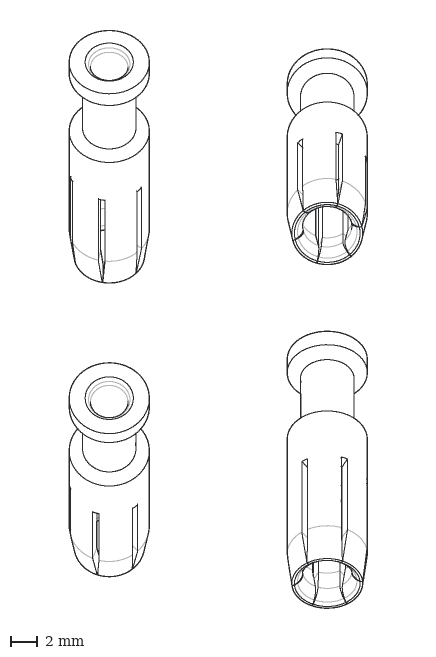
import cadquery as cq
import math

total_length = 23.5
outer_radius = 3.0

neck_radius = 2.0
shoulder_step = outer_radius - neck_radius
neck_bottom = 15.5
neck_top = 21.5
collar_cone_angle = 20.0
head_cone_angle = 30.0
collar_top = neck_bottom - shoulder_step * math.tan(math.radians(collar_cone_angle))
head_bottom = neck_top + shoulder_step * math.tan(math.radians(head_cone_angle))

taper_height = 3.1
tip_radius = 2.65
taper_angle = math.atan((outer_radius - tip_radius) / taper_height)
slot_count = 6
slot_top = 10.5
slot_width = 0.5
slot_tip_width = 0.02

socket_radius = 2.05
socket_depth = 12.0
lead_in_height = 1.3
lead_in_rounding = 1.3

bore_radius = 1.4
bore_depth = 6.0
bore_point_angle = 118.0
mouth_radius = 1.8
mouth_rounding = 0.5


def make_body():
    """Revolved outside: tapered fingers, collar, neck and head."""
    return (
        cq.Workplane("XZ")
        .moveTo(0, 0)
        .lineTo(tip_radius, 0)
        .lineTo(outer_radius, taper_height)
        .lineTo(outer_radius, collar_top)
        .lineTo(neck_radius, neck_bottom)
        .lineTo(neck_radius, neck_top)
        .lineTo(outer_radius, head_bottom)
        .lineTo(outer_radius, total_length)
        .lineTo(0, total_length)
        .close()
        .revolve(360, (0, 0), (0, 1))
    )


def make_socket():
    """Revolved cavity that narrows with the fingers, then flares into a lead-in ending at 45 degrees."""
    throat_radius = socket_radius - (taper_height - lead_in_height) * math.tan(taper_angle)
    arc_centre_radius = throat_radius + lead_in_rounding * math.cos(taper_angle)
    arc_centre_height = lead_in_height - lead_in_rounding * math.sin(taper_angle)

    def arc_point(angle_below_horizontal):
        return (
            arc_centre_radius - lead_in_rounding * math.cos(angle_below_horizontal),
            arc_centre_height - lead_in_rounding * math.sin(angle_below_horizontal),
        )

    chamfer_angle = math.radians(45)
    arc_end = arc_point(chamfer_angle)
    entry_radius = arc_end[0] + arc_end[1]
    return (
        cq.Workplane("XZ")
        .moveTo(0, 0)
        .lineTo(entry_radius, 0)
        .lineTo(*arc_end)
        .threePointArc(arc_point(chamfer_angle / 2), (throat_radius, lead_in_height))
        .lineTo(socket_radius, taper_height)
        .lineTo(socket_radius, socket_depth)
        .lineTo(0, socket_depth)
        .close()
        .revolve(360, (0, 0), (0, 1))
    )


def make_bore():
    """Revolved drilled bore; a 45 degree chamfer blends into the wall by an arc."""
    chamfer_angle = math.radians(45)
    arc_centre_radius = bore_radius + mouth_rounding
    arc_top_radius = arc_centre_radius - mouth_rounding * math.cos(chamfer_angle)
    arc_top = total_length - (mouth_radius - arc_top_radius)
    arc_bottom = arc_top - mouth_rounding * math.sin(chamfer_angle)
    arc_middle = (
        arc_centre_radius - mouth_rounding * math.cos(chamfer_angle / 2),
        arc_bottom + mouth_rounding * math.sin(chamfer_angle / 2),
    )
    bore_floor = total_length - bore_depth
    point_height = bore_radius / math.tan(math.radians(bore_point_angle / 2))
    return (
        cq.Workplane("XZ")
        .moveTo(0, total_length)
        .lineTo(mouth_radius, total_length)
        .lineTo(arc_top_radius, arc_top)
        .threePointArc(arc_middle, (bore_radius, arc_bottom))
        .lineTo(bore_radius, bore_floor)
        .lineTo(0, bore_floor - point_height)
        .close()
        .revolve(360, (0, 0), (0, 1))
    )


def make_slot(angle):
    """Radial slot between two fingers, closing to a narrow gap at the tip."""
    half_width = slot_width / 2
    half_tip_width = slot_tip_width / 2
    return (
        cq.Workplane("YZ")
        .moveTo(-half_tip_width, 0)
        .lineTo(half_tip_width, 0)
        .lineTo(half_width, taper_height)
        .lineTo(half_width, slot_top)
        .lineTo(-half_width, slot_top)
        .lineTo(-half_width, taper_height)
        .close()
        .extrude(2 * outer_radius)
        .rotate((0, 0, 0), (0, 0, 1), angle)
    )


result = make_body().cut(make_socket()).cut(make_bore())
for slot_number in range(slot_count):
    result = result.cut(make_slot(slot_number * 360 / slot_count))